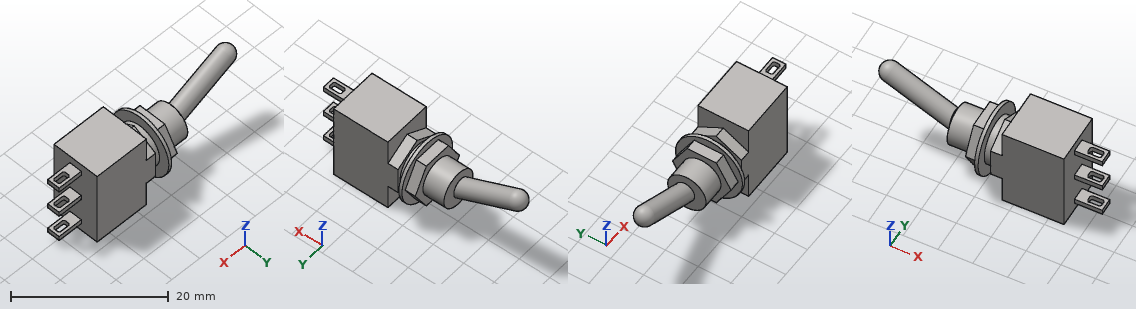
import cadquery as cq
import math


total_length = 32.4
body_length = 8.87
body_width = 7.7
body_height = 12.7

terminal_length = 4.0
terminal_width = 2.05
terminal_thickness = 0.78
terminal_pitch = 4.7
terminal_count = 3
slot_length = 1.95
slot_width = 1.1
slot_corner_radius = 0.3
slot_to_tip = 0.5

bushing_diameter = 5.83
bushing_length = 5.1
collar_diameter = 6.87
nut_across_flats = body_width
nut_thickness = 1.65
washer_diameter = 10.17
washer_thickness = 0.52
washer_to_base_nut = 1.13

lever_diameter = 2.9
lever_angle = 25.0
lever_gap = 0.42

body_back = total_length - terminal_length
body_front = body_back - body_length
base_nut_front = body_front - nut_thickness
washer_back = base_nut_front - washer_to_base_nut
washer_front = washer_back - washer_thickness
bushing_front = washer_front - bushing_length
lever_end = bushing_front - lever_gap

lever_radius = lever_diameter / 2
tip_x = lever_radius
tip_z = body_height / 2 - lever_radius

nut_across_corners = nut_across_flats / math.cos(math.radians(30))


def section_at(x):
    """Workplane normal to +X, with local x along Y and local y along Z."""
    return cq.Workplane("YZ", origin=(x, 0, 0))


def cylinder(start, end, diameter):
    return section_at(start).circle(diameter / 2).extrude(end - start)


def hex_nut(start, corner_angle):
    """Solid hexagon; a corner angle of 0 puts corners on Y, 90 puts them on Z."""
    return (
        section_at(start)
        .transformed(rotate=(0, 0, corner_angle))
        .polygon(6, nut_across_corners)
        .extrude(nut_thickness)
    )


def make_terminal(z):
    """Flat solder lug with a rounded rectangular eye through its thickness."""
    blade = cq.Workplane("XY").box(terminal_length, terminal_width, terminal_thickness)
    eye_x = terminal_length / 2 - slot_to_tip - slot_length / 2
    eye = (
        cq.Workplane("XY")
        .box(slot_length, slot_width, terminal_thickness)
        .edges("|Z")
        .fillet(slot_corner_radius)
        .translate((eye_x, 0, 0))
    )
    return blade.cut(eye).translate((body_back + terminal_length / 2, 0, z))


def make_switch_body():
    """Case, mounting hardware and terminals as one solid."""
    body = section_at(body_front).rect(body_width, body_height).extrude(body_length)
    body = body.union(hex_nut(base_nut_front, 90), clean=False)
    body = body.union(cylinder(washer_back, base_nut_front, collar_diameter), clean=False)
    body = body.union(cylinder(washer_front, washer_back, washer_diameter), clean=False)
    body = body.union(hex_nut(washer_front - nut_thickness, 0), clean=False)
    body = body.union(cylinder(bushing_front, washer_front, bushing_diameter), clean=False)
    for index in range(terminal_count):
        z = (index - (terminal_count - 1) / 2) * terminal_pitch
        body = body.union(make_terminal(z), clean=False)
    return body


def make_lever():
    """Tilted rod with a ball tip, cut off square to the bushing axis."""
    angle = math.radians(lever_angle)
    axis = cq.Vector(math.cos(angle), 0, -math.sin(angle))
    rod_length = (lever_end - tip_x) / math.cos(angle) + lever_diameter
    tip = cq.Vector(tip_x, 0, tip_z)
    rod = cq.Workplane(cq.Plane(tip, normal=axis)).circle(lever_radius).extrude(rod_length)
    ball = cq.Workplane("XY").sphere(lever_radius).translate(tip)
    beyond_end = section_at(lever_end).rect(body_width, 2 * body_height).extrude(rod_length)
    return rod.union(ball).cut(beyond_end)


switch_body = make_switch_body()
lever = make_lever()

result = cq.Compound.makeCompound([switch_body.solids().val(), lever.solids().val()])